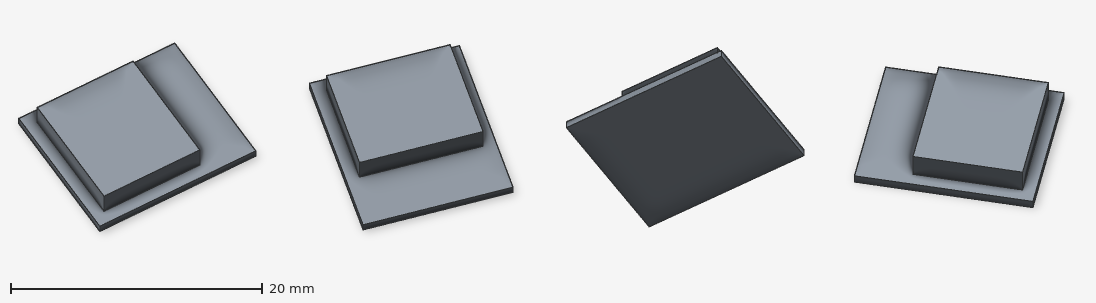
import cadquery as cq

board_width = 12.5
board_length = 14.5
board_thickness = 0.7

total_height = 2.7
side_margin = 1.1
front_margin = 1.06
block_length = 8.9
block_width = board_width - 2 * side_margin
block_height = total_height - board_thickness
block_center_y = -board_length / 2 + front_margin + block_length / 2

board = cq.Workplane("XY").box(
    board_width, board_length, board_thickness, centered=(True, True, False)
)

block = (
    cq.Workplane("XY", origin=(0, block_center_y, board_thickness))
    .box(block_width, block_length, block_height, centered=(True, True, False))
)

result = board.union(block)